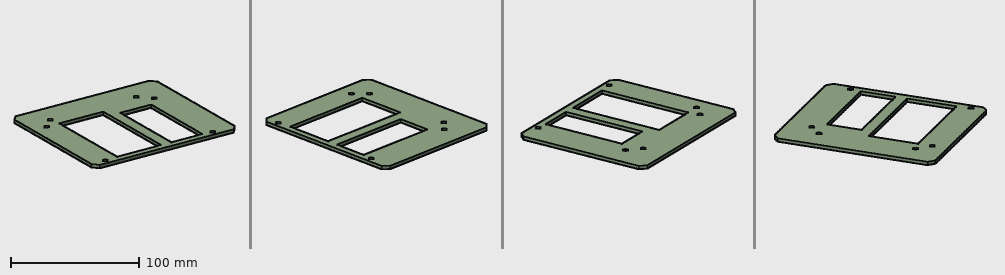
import cadquery as cq

width = 117.0
length = 135.0
thickness = 3.0
corner_cut_x = 5.0
corner_cut_y = 4.6

window_right = 52.5
upper_window_width = 70.9
upper_window_bottom = 8.5
upper_window_height = 29.0
lower_window_width = 80.2
lower_window_bottom = -42.7
lower_window_height = 41.3

hole_diameter = 4.0
hole_axis_y = -3.9
outer_pitch_y = 101.2
outer_left_x = -27.7
outer_right_x = 53.6
inner_pitch_y = 81.1
inner_x = -37.5


def make_plate():
    """Rectangular plate with its four corners cut off."""
    half_x = width / 2
    half_y = length / 2
    flat_x = half_x - corner_cut_x
    flat_y = half_y - corner_cut_y
    outline = [
        (-flat_x, -half_y),
        (flat_x, -half_y),
        (half_x, -flat_y),
        (half_x, flat_y),
        (flat_x, half_y),
        (-flat_x, half_y),
        (-half_x, flat_y),
        (-half_x, -flat_y),
    ]
    return cq.Workplane("XY").polyline(outline).close().extrude(thickness)


def make_window(window_width, bottom, height):
    """Cutter for a rectangular window ending at the shared right edge."""
    cutter = cq.Workplane("XY").box(window_width, height, thickness, centered=False)
    return cutter.translate((window_right - window_width, bottom, 0))


def make_holes():
    """Cutter for all the screw holes."""
    centres = []
    for side in (-1, 1):
        outer_y = hole_axis_y + side * outer_pitch_y / 2
        inner_y = hole_axis_y + side * inner_pitch_y / 2
        centres += [(outer_left_x, outer_y), (outer_right_x, outer_y), (inner_x, inner_y)]
    return cq.Workplane("XY").pushPoints(centres).circle(hole_diameter / 2).extrude(thickness)


result = (
    make_plate()
    .cut(make_window(upper_window_width, upper_window_bottom, upper_window_height))
    .cut(make_window(lower_window_width, lower_window_bottom, lower_window_height))
    .cut(make_holes())
)